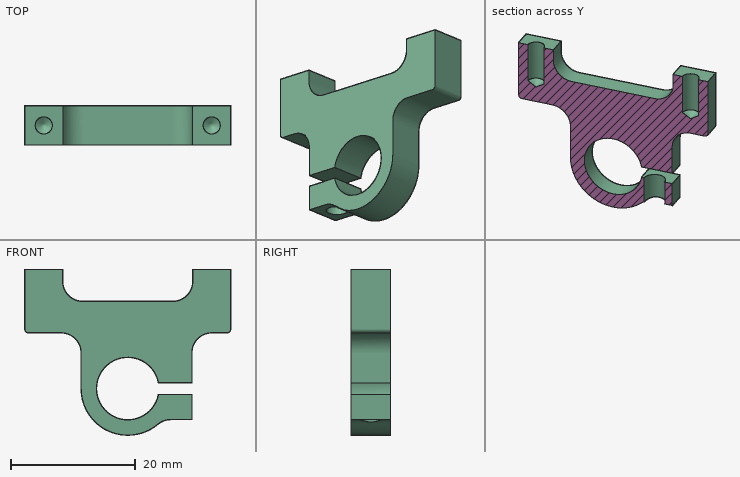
import cadquery as cq
import math

length = 33.02
thickness = 6.35
height = 26.58

post_width = 6.1
recess_depth = 5.1
bar_height = 10.17
blend_radius = 3.17
corner_radius = 0.6

clamp_radius = 7.5
bore_radius = 5.0
ear_reach = 10.3
ear_drop = 5.0
slot_width = 1.8

post_hole_diameter = 2.75
post_hole_depth = 6.6
drill_tip_angle = 118.0
clamp_hole_diameter = 3.53
clamp_hole_x = 7.15

half_length = length / 2
top_z = height - clamp_radius
recess_z = top_z - recess_depth
bar_bottom_z = top_z - bar_height
post_inner_x = half_length - post_width

ear_blend_z = -ear_drop - blend_radius
ear_blend_x = math.sqrt((clamp_radius + blend_radius) ** 2 - ear_blend_z**2)
ring_share = clamp_radius / (clamp_radius + blend_radius)
ring_tangent = (ear_blend_x * ring_share, ear_blend_z * ring_share)
blend_angle = (math.pi / 2 + math.atan2(-ear_blend_z, -ear_blend_x)) / 2
blend_middle = (
    ear_blend_x + blend_radius * math.cos(blend_angle),
    ear_blend_z + blend_radius * math.sin(blend_angle),
)


def make_body():
    """Extruded outline with its straight-sided corners rounded."""
    body = (
        cq.Workplane("XZ")
        .moveTo(-half_length, top_z)
        .lineTo(-post_inner_x, top_z)
        .lineTo(-post_inner_x, recess_z)
        .lineTo(post_inner_x, recess_z)
        .lineTo(post_inner_x, top_z)
        .lineTo(half_length, top_z)
        .lineTo(half_length, bar_bottom_z)
        .lineTo(ear_reach, bar_bottom_z)
        .lineTo(ear_reach, -ear_drop)
        .lineTo(ear_blend_x, -ear_drop)
        .threePointArc(blend_middle, ring_tangent)
        .threePointArc((0, -clamp_radius), (-clamp_radius, 0))
        .lineTo(-clamp_radius, bar_bottom_z)
        .lineTo(-half_length, bar_bottom_z)
        .close()
        .extrude(thickness / 2, both=True)
    )

    def edges_at(x, z):
        return cq.selectors.NearestToPointSelector((x, 0, z))

    inner_corners = [
        (-post_inner_x, recess_z),
        (post_inner_x, recess_z),
        (ear_reach, bar_bottom_z),
        (-clamp_radius, bar_bottom_z),
    ]
    for x, z in inner_corners:
        body = body.edges("|Y").edges(edges_at(x, z)).fillet(blend_radius)
    for x in (-half_length, half_length):
        body = body.edges("|Y").edges(edges_at(x, bar_bottom_z)).fillet(corner_radius)
    return body


def make_bore_and_slot():
    """Through bore, opened to +X by the clamping slot."""
    bore = cq.Workplane("XZ").circle(bore_radius).extrude(thickness / 2, both=True)
    slot = cq.Workplane("XY").box(ear_reach, thickness, slot_width, centered=(False, True, True))
    return bore.union(slot)


def make_post_hole(x):
    """Blind drilled hole with a conical tip, entering the top of a post."""
    radius = post_hole_diameter / 2
    tip_length = radius / math.tan(math.radians(drill_tip_angle / 2))
    return (
        cq.Workplane("XZ")
        .polyline([
            (0, 0),
            (radius, 0),
            (radius, -post_hole_depth),
            (0, -post_hole_depth - tip_length),
        ])
        .close()
        .revolve(360, (0, 0), (0, 1))
        .translate((x, 0, top_z))
    )


def make_clamp_hole():
    """Screw clearance hole through the ear below the slot."""
    return (
        cq.Workplane("XY")
        .center(clamp_hole_x, 0)
        .circle(clamp_hole_diameter / 2)
        .extrude(-clamp_radius)
    )


post_center_x = half_length - post_width / 2

result = make_body().cut(make_bore_and_slot()).cut(make_clamp_hole())
for side in (-1, 1):
    result = result.cut(make_post_hole(side * post_center_x))